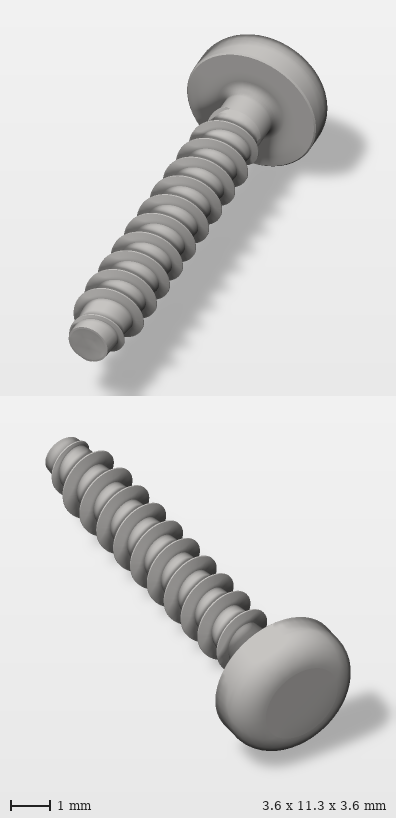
import cadquery as cq
import math


head_diameter = 3.6
head_height = 1.3
dome_radius = 0.72
rim_chamfer = 0.04

neck_radius = 1.35 / 2
neck_fillet = 0.235
neck_end_y = -0.88

shank_length = 10.0
core_radius = 0.5
lead_cone_length = 0.6

dimple_radius = 0.49
dimple_depth = 0.05

pitch = 0.8
crest_radius = 0.91
crest_half_width = 0.018
flank_run = 0.29
slope_start_radius = 0.665
slope_end_radius = 0.55
tip_radius = 0.52
buried_radius = 0.45
turn_gap = 0.03
thread_start_y = -0.86
helix_start_y = -0.59
helix_turns = 12.2
samples_per_turn = 12

first_crest_radius = 0.70
full_height_y = -1.8
fade_start_y = -8.8
faded_radius = 0.55


def make_blank():
    """Head, neck and core as one body of revolution."""
    head_radius = head_diameter / 2
    dome_diagonal = dome_radius * math.sqrt(0.5)
    dome_center_x = head_radius - dome_radius
    dome_center_y = head_height - dome_radius
    fillet_center_x = neck_radius + neck_fillet
    fillet_diagonal = neck_fillet * math.sqrt(0.5)
    profile = (
        cq.Workplane("XY")
        .moveTo(0, head_height)
        .lineTo(dome_center_x, head_height)
        .threePointArc(
            (dome_center_x + dome_diagonal, dome_center_y + dome_diagonal),
            (head_radius, dome_center_y),
        )
        .lineTo(head_radius, rim_chamfer)
        .lineTo(head_radius - rim_chamfer, 0)
        .lineTo(fillet_center_x, 0)
        .threePointArc(
            (fillet_center_x - fillet_diagonal, fillet_diagonal - neck_fillet),
            (neck_radius, -neck_fillet),
        )
        .lineTo(neck_radius, neck_end_y)
        .lineTo(core_radius, neck_end_y - lead_cone_length)
        .lineTo(core_radius, -shank_length)
        .lineTo(0, -shank_length)
        .close()
    )
    return profile.revolve(360, (0, 0, 0), (0, 1, 0))


def blend(y, start_y, end_y, start_value, end_value):
    """Linear change from start_value to end_value, held constant outside the two stations."""
    fraction = min(max((y - start_y) / (end_y - start_y), 0), 1)
    return start_value + fraction * (end_value - start_value)


def tooth_section(crest_y):
    """Corners (radius, y) of the sharp tooth whose crest is at crest_y."""
    if crest_y > fade_start_y:
        crest = blend(crest_y, helix_start_y, full_height_y, first_crest_radius, crest_radius)
    else:
        crest = blend(crest_y, fade_start_y, -shank_length, crest_radius, faded_radius)
    foot = crest_half_width + flank_run * (crest - buried_radius)
    return [
        (buried_radius, crest_y + foot),
        (crest, crest_y + crest_half_width),
        (crest, crest_y - crest_half_width),
        (buried_radius, crest_y - foot),
    ]


def slope_section(crest_y):
    """Corners (radius, y) of the slope that runs from under one tooth to under the next."""
    end_radius = blend(crest_y, fade_start_y, -shank_length, slope_end_radius, tip_radius)
    start_radius = blend(crest_y, fade_start_y, -shank_length, slope_start_radius, tip_radius)
    end_y = crest_y - pitch + turn_gap
    return [
        (buried_radius, crest_y),
        (start_radius, crest_y),
        (end_radius, end_y),
        (buried_radius, end_y),
    ]


def make_helical_solid(section_at):
    """Right-hand helical solid, trimmed to the stretch between neck and tip."""
    sections = []
    for step in range(round(helix_turns * samples_per_turn) + 1):
        turn = step / samples_per_turn
        angle = 2 * math.pi * turn
        corners = section_at(helix_start_y - pitch * turn)
        sections.append([cq.Vector(r * math.cos(angle), y, r * math.sin(angle)) for r, y in corners])

    faces = []
    for first in range(0, len(sections) - 1, samples_per_turn):
        turn_sections = sections[first : first + samples_per_turn + 1]
        edges = [cq.Edge.makeSpline(list(corner_path)) for corner_path in zip(*turn_sections)]
        next_edges = edges[1:] + edges[:1]
        for edge, neighbour in zip(edges, next_edges):
            faces.append(cq.Face.makeRuledSurface(edge, neighbour))
    for end_section in (sections[0], sections[-1]):
        faces.append(cq.Face.makeFromWires(cq.Wire.makePolygon(end_section, close=True)))
    helical_solid = cq.Workplane(cq.Solid.makeSolid(cq.Shell.makeShell(faces)))

    trim_length = shank_length + thread_start_y
    trim = cq.Workplane("XZ", origin=(0, thread_start_y, 0)).circle(head_diameter / 2).extrude(trim_length)
    return helical_solid.intersect(trim)


def make_dimple():
    """Spherical cap that hollows the tip face."""
    sphere_radius = (dimple_radius**2 + dimple_depth**2) / (2 * dimple_depth)
    center_y = dimple_depth - shank_length - sphere_radius
    return cq.Workplane("XY", origin=(0, center_y, 0)).sphere(sphere_radius)


thread_slope = make_helical_solid(slope_section)
thread_tooth = make_helical_solid(tooth_section)
result = make_blank().union(thread_slope).union(thread_tooth).cut(make_dimple())